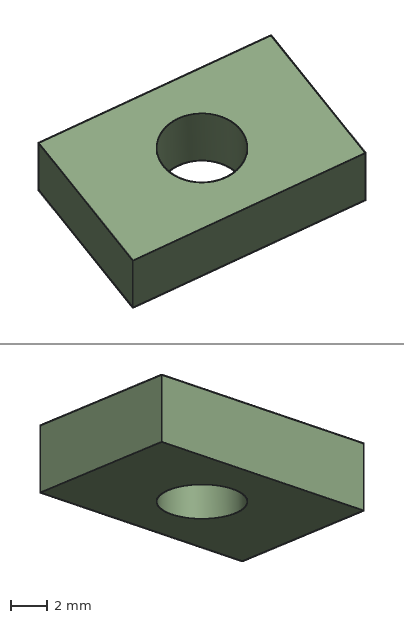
import cadquery as cq

block_width = 10.0
block_length = 15.0
block_height = 4.0
hole_diameter = 5.0


def make_block():
    """Plain rectangular block centred on the origin."""
    return cq.Workplane("XY").box(block_width, block_length, block_height)


def cut_centre_hole(block):
    """Round hole straight through the middle of the top face."""
    return block.faces(">Z").workplane().hole(hole_diameter)


result = cut_centre_hole(make_block())